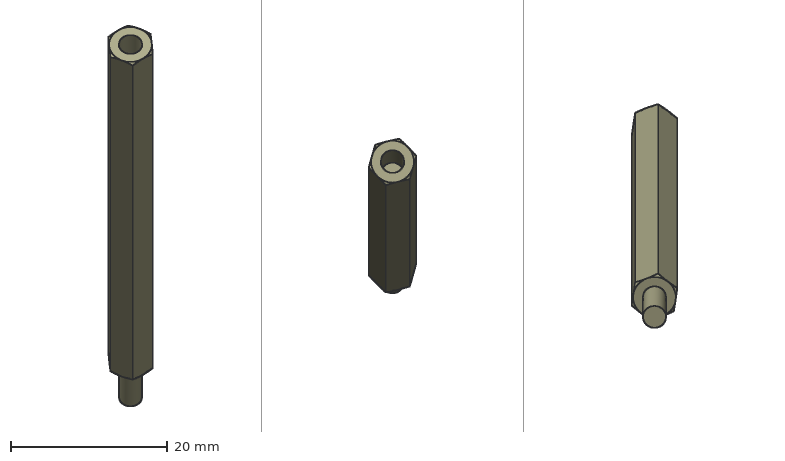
import cadquery as cq
import math

total_length = 78.0
across_corners = 6.3
thread_diameter = 3.0
stud_length = 8.0
hole_depth = stud_length
chamfer_angle = 30.0

spacer_length = total_length - stud_length
corner_radius = across_corners / 2
flat_radius = corner_radius * math.cos(math.radians(30))
chamfer_height = (corner_radius - flat_radius) * math.tan(math.radians(chamfer_angle))

stud_bottom = -total_length / 2
spacer_bottom = stud_bottom + stud_length
spacer_top = spacer_bottom + spacer_length


def hex_bar():
    """Hexagonal bar with two corners on the Y axis and two flats facing X."""
    return (
        cq.Workplane("XY")
        .workplane(offset=spacer_bottom)
        .transformed(rotate=(0, 0, 90))
        .polygon(6, across_corners)
        .extrude(spacer_length)
    )


def chamfer_envelope():
    """Round bar, coned at both ends, that trims only the corners of the hexagon."""
    return (
        cq.Workplane("XZ")
        .moveTo(0, spacer_bottom)
        .lineTo(flat_radius, spacer_bottom)
        .lineTo(corner_radius, spacer_bottom + chamfer_height)
        .lineTo(corner_radius, spacer_top - chamfer_height)
        .lineTo(flat_radius, spacer_top)
        .lineTo(0, spacer_top)
        .close()
        .revolve(360, (0, 0, 0), (0, 1, 0))
    )


def threaded_rod(bottom, length):
    """Plain cylinder of the thread diameter, standing on the given height."""
    return cq.Workplane("XY").workplane(offset=bottom).circle(thread_diameter / 2).extrude(length)


def make_spacer():
    """Hexagonal spacer with chamfered ends and a blind hole in its top face."""
    hole = threaded_rod(spacer_top - hole_depth, hole_depth)
    return hex_bar().intersect(chamfer_envelope()).cut(hole).solids()


def make_stud():
    """Round stud that meets the bottom face of the spacer."""
    return threaded_rod(stud_bottom, stud_length)


spacer = make_spacer()
stud = make_stud()

result = cq.Compound.makeCompound([spacer.val(), stud.val()])